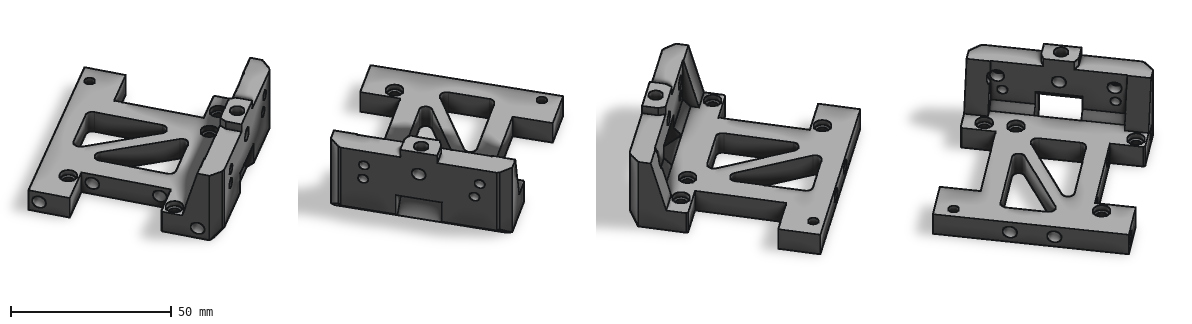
import cadquery as cq
import math

length = 62.0
width = 62.0
height = 29.45
base_height = 8.05

front_bar_length = 13.45
neck_width = 36.15
head_start = 42.6
head_width = 58.4
head_edge_break = 0.5

wall_height = 26.4
wall_face = 54.7
wall_fillet_leg = 2.55
gusset_foot = 49.5
gusset_top = 54.45
gusset_gap = 43.2
corner_chamfer = 3.6
bottom_chamfer = 2.8
corner_edge_break = 0.55

window_width = 14.9
window_top = 15.75

tab_width = 11.9
tab_nose_width = 9.8
tab_nose_length = 2.2
tab_hole_x = 58.85

pocket_start = 6.9
pocket_end = 41.55
pocket_width = 22.1
pocket_radius = 2.1
strut_width = 4.0
strut_angle = 30.8

screw_diameter = 3.3
counterbore_diameter = 5.5
counterbore_depth = 2.0
insert_diameter = 4.5
insert_depth = 6.2
plain_screw_place = (3.5, 25.0)
counterbored_places = [(46.2, 22.25), (46.2, 12.2), (10.0, -20.8), (46.0, -25.8)]
insert_height = 4.0
neck_insert_height = 4.4
bar_face_insert_places = [6.65, -7.45]
bar_end_insert_x = 3.5
neck_insert_places = [17.0, 39.0]
head_insert_x = 54.55

wall_hole_height = 20.65
wall_centre_hole_diameter = 4.45
wall_counterbore_depth = 3.7
wall_screw_places = [19.6, -17.6]
wall_low_hole_height = 15.1
wall_low_hole_places = [17.9, -17.9]
gusset_relief_diameter = 6.0


def block(x_start, x_end, block_width, z_start, z_end):
    """Box centred on Y = 0."""
    size_x = x_end - x_start
    size_z = z_end - z_start
    return (
        cq.Workplane("XY")
        .box(size_x, block_width, size_z, centered=(False, True, False))
        .translate((x_start, 0, z_start))
    )


def side_profile(points, profile_width):
    """Closed XZ outline extruded to both sides of Y = 0."""
    return cq.Workplane("XZ").polyline(points).close().extrude(profile_width / 2, both=True)


def hole_x(y, z, diameter, start, depth):
    """Cylinder running in +X."""
    direction = cq.Vector(1, 0, 0)
    return cq.Workplane(cq.Solid.makeCylinder(diameter / 2, depth, cq.Vector(start, y, z), direction))


def hole_y(x, z, diameter, start, depth):
    """Cylinder running in +Y."""
    direction = cq.Vector(0, 1, 0)
    return cq.Workplane(cq.Solid.makeCylinder(diameter / 2, depth, cq.Vector(x, start, z), direction))


def hole_down(place, diameter, top, depth):
    """Cylinder running in -Z."""
    direction = cq.Vector(0, 0, -1)
    return cq.Workplane(cq.Solid.makeCylinder(diameter / 2, depth, cq.Vector(*place, top), direction))


def cut_all(body, tools):
    for tool in tools:
        body = body.cut(tool)
    return body


def make_base():
    bar = block(0, front_bar_length, width, 0, base_height)
    neck = block(0, wall_face, neck_width, 0, base_height)
    head = block(head_start, length, head_width, 0, base_height)
    head = head.edges("|Z and <X").chamfer(head_edge_break)
    return bar.union(neck).union(head)


def make_wall():
    wall = block(wall_face, length, head_width, 0, wall_height)
    gussets = side_profile(
        [
            (gusset_foot, base_height),
            (wall_face, base_height),
            (wall_face, wall_height),
            (gusset_top, wall_height),
        ],
        head_width,
    )
    gussets = gussets.cut(block(gusset_foot, wall_face, gusset_gap, base_height, wall_height))
    foot = side_profile(
        [
            (wall_face - wall_fillet_leg, base_height),
            (wall_face, base_height),
            (wall_face, base_height + wall_fillet_leg),
        ],
        gusset_gap,
    )
    return wall.union(gussets).union(foot)


def chamfer_back(body):
    """Bevel the bottom back edge and both back corners, then ease the edges of the corner bevels."""
    wedge = side_profile(
        [(length - bottom_chamfer, 0), (length, 0), (length, bottom_chamfer)],
        head_width,
    )
    body = body.cut(wedge)
    for side in (-1, 1):
        corner_y = side * head_width / 2
        bevel_end_y = corner_y - side * corner_chamfer
        corner = (
            cq.Workplane("XY")
            .polyline([(length - corner_chamfer, corner_y), (length, corner_y), (length, bevel_end_y)])
            .close()
            .extrude(wall_height)
        )
        body = body.cut(corner)
        back_edge_middle = (length, bevel_end_y, (bottom_chamfer + wall_height) / 2)
        half_rise = bottom_chamfer / 2
        sloped_edge_middle = (length - half_rise, bevel_end_y + side * half_rise, half_rise)
        back_edge = body.edges(cq.selectors.NearestToPointSelector(back_edge_middle))
        sloped_edge = body.edges(cq.selectors.NearestToPointSelector(sloped_edge_middle))
        body = back_edge.add(sloped_edge).chamfer(corner_edge_break)
    return body


def make_window():
    """Opening whose front floor and ceiling both slope down at 45 degrees towards the back."""
    floor_start = wall_face - wall_fillet_leg
    back_top = base_height + wall_fillet_leg
    return side_profile(
        [
            (floor_start, base_height),
            (floor_start, window_top),
            (wall_face, window_top),
            (wall_face + window_top - back_top, back_top),
            (length, back_top),
            (length, 0),
            (floor_start + base_height, 0),
        ],
        window_width,
    )


def make_tab():
    nose_end = wall_face + tab_nose_length
    return (
        cq.Workplane("XY")
        .workplane(offset=wall_height)
        .polyline(
            [
                (wall_face, -tab_nose_width / 2),
                (nose_end, -tab_width / 2),
                (length, -tab_width / 2),
                (length, tab_width / 2),
                (nose_end, tab_width / 2),
                (wall_face, tab_nose_width / 2),
            ]
        )
        .close()
        .extrude(height - wall_height)
    )


def make_pockets():
    """Two rounded triangles separated by a slanted strut."""
    middle_x = (pocket_start + pocket_end) / 2
    half_width = pocket_width / 2
    slope = math.tan(math.radians(strut_angle))
    rise = strut_width / 2 / math.cos(math.radians(strut_angle))
    half_length = middle_x - pocket_start
    pocket = (
        cq.Workplane("XY")
        .polyline(
            [
                (-half_length, half_width),
                ((half_width - rise) / slope, half_width),
                (-half_length, rise - half_length * slope),
            ]
        )
        .close()
        .extrude(base_height)
        .edges("|Z")
        .fillet(pocket_radius)
    )
    opposite = pocket.rotate((0, 0, 0), (0, 0, 1), 180)
    return pocket.union(opposite).translate((middle_x, 0, 0))


def make_screw_holes():
    """Vertical holes through the base, all but one counterbored from above."""
    holes = [hole_down(plain_screw_place, screw_diameter, base_height, base_height)]
    for place in counterbored_places:
        holes.append(hole_down(place, screw_diameter, base_height, base_height))
        holes.append(hole_down(place, counterbore_diameter, base_height, counterbore_depth))
    return holes


def make_insert_holes():
    """Blind holes in the -X and -Y sides of the base and in the top of the tab."""
    holes = [
        hole_y(bar_end_insert_x, insert_height, insert_diameter, -width / 2, insert_depth),
        hole_y(head_insert_x, insert_height, insert_diameter, -head_width / 2, insert_depth),
        hole_down((tab_hole_x, 0), insert_diameter, height, insert_depth),
    ]
    for y in bar_face_insert_places:
        holes.append(hole_x(y, insert_height, insert_diameter, 0, insert_depth))
    for x in neck_insert_places:
        holes.append(hole_y(x, neck_insert_height, insert_diameter, -neck_width / 2, insert_depth))
    return holes


def make_wall_holes():
    """Holes through the wall, with a relief in the gusset that the +Y screw hole runs beside."""
    thickness = length - wall_face
    holes = [hole_x(0, wall_hole_height, wall_centre_hole_diameter, wall_face, thickness)]
    for y in wall_screw_places:
        holes.append(hole_x(y, wall_hole_height, screw_diameter, wall_face, thickness))
        holes.append(hole_x(y, wall_hole_height, insert_diameter, wall_face, wall_counterbore_depth))
    for y in wall_low_hole_places:
        holes.append(hole_x(y, wall_low_hole_height, screw_diameter, wall_face, thickness))
    relief_length = wall_face - gusset_foot
    relief_y = max(wall_screw_places)
    holes.append(hole_x(relief_y, wall_hole_height, gusset_relief_diameter, gusset_foot, relief_length))
    return holes


result = make_base().union(make_wall())
result = chamfer_back(result)
result = result.cut(make_window()).union(make_tab())
result = result.cut(make_pockets())
result = cut_all(result, make_screw_holes() + make_insert_holes() + make_wall_holes())